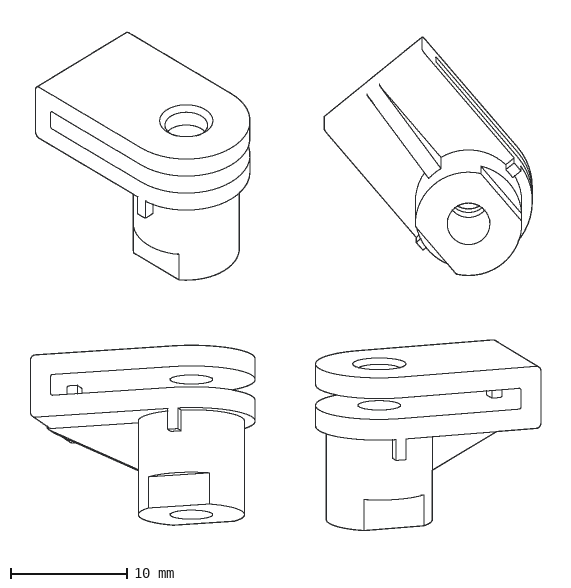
import cadquery as cq

length = 18.34
width = 11.0
plate_thickness = 1.83
slot_height = 1.83
slot_end_x = 1.83
outer_fillet = 0.45
slot_fillet = 0.18
end_radius = width / 2
axis_x = length - end_radius
body_height = 2 * plate_thickness + slot_height
underside_z = -body_height

pad_depth = 0.92
pad_width = 1.38

boss_radius = 4.58
boss_height = 8.25
flats_width = 7.34
flats_height = 2.75
bottom_z = underside_z - boss_height

hole_radius = 1.83
countersink_depth = 0.45

tab_length = 0.92
tab_height = 1.83

gusset_width = 1.38
gusset_slope = 0.5


def rounded_plan(top_z, height):
    """Solid with the plan of the clip, reaching down from top_z."""
    block = cq.Workplane("XY", origin=(0, 0, top_z - height)).box(
        axis_x, width, height, centered=(False, True, False))
    end = cq.Workplane("XY", origin=(axis_x, 0, top_z - height)).circle(end_radius).extrude(height)
    return block.union(end)


def make_clip():
    clip = rounded_plan(0, body_height)
    clip = clip.edges("|Y and <X").fillet(outer_fillet)
    slot = (
        cq.Workplane("XY", origin=(slot_end_x, 0, -plate_thickness - slot_height))
        .box(length, width, slot_height, centered=(False, True, False))
        .edges("|Y and <X")
        .fillet(slot_fillet)
    )
    pad = cq.Workplane("XY", origin=(slot_end_x, 0, -plate_thickness - slot_height)).box(
        pad_depth, pad_width, slot_height, centered=(False, True, False))
    return clip.cut(slot).union(pad)


def make_boss():
    boss = cq.Workplane("XY", origin=(axis_x, 0, bottom_z)).circle(boss_radius).extrude(boss_height)
    foot = cq.Workplane("XY", origin=(axis_x, 0, bottom_z)).box(
        2 * boss_radius, 2 * boss_radius, flats_height, centered=(True, True, False))
    between_flats = cq.Workplane("XY", origin=(axis_x, 0, bottom_z)).box(
        2 * boss_radius, flats_width, flats_height, centered=(True, True, False))
    return boss.cut(foot.cut(between_flats))


def make_tabs():
    bar = cq.Workplane("XY", origin=(axis_x, 0, underside_z - tab_height)).box(
        tab_length, width, tab_height, centered=(True, True, False))
    return bar.intersect(rounded_plan(underside_z, tab_height))


def make_gusset():
    gusset_top_z = underside_z + plate_thickness / 2
    end_z = underside_z - gusset_slope * axis_x
    return (
        cq.Workplane("XZ")
        .polyline([(0, underside_z), (axis_x, end_z), (axis_x, gusset_top_z), (0, gusset_top_z)])
        .close()
        .extrude(gusset_width / 2, both=True)
        .edges(cq.selectors.NearestToPointSelector((0, 0, underside_z)))
        .fillet(outer_fillet)
    )


def make_hole():
    bore = cq.Workplane("XY", origin=(axis_x, 0, bottom_z)).circle(hole_radius).extrude(-bottom_z)
    countersink = cq.Workplane("XY").add(cq.Solid.makeCone(
        hole_radius, hole_radius + countersink_depth, countersink_depth,
        pnt=cq.Vector(axis_x, 0, -countersink_depth)))
    return bore.union(countersink)


result = make_clip().union(make_boss()).union(make_tabs()).union(make_gusset()).cut(make_hole())